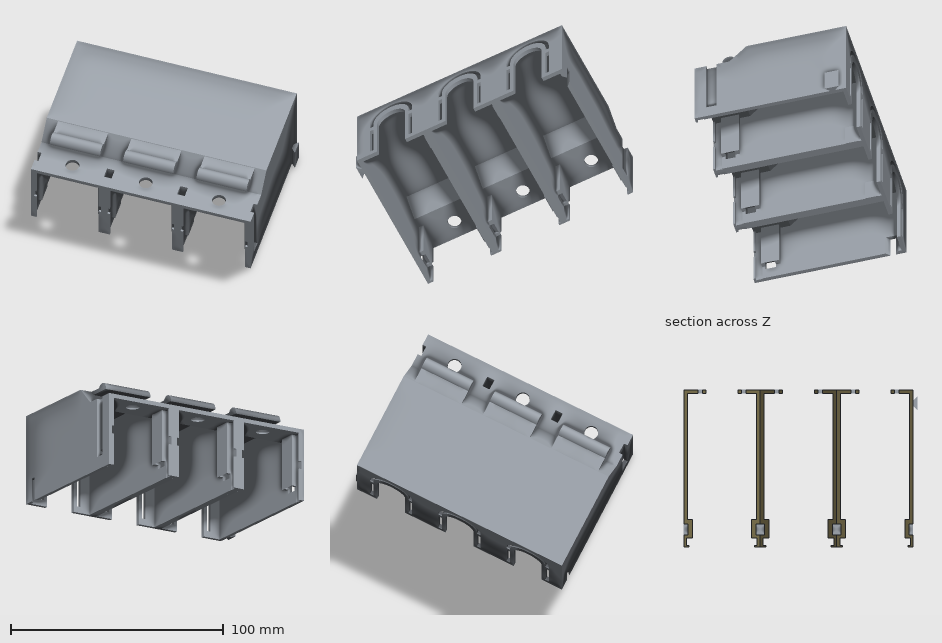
import cadquery as cq
import math


COVER_COUNT = 3
TOTAL_LENGTH = 110.0
RIB_DEPTH = 2.1
COVER_WIDTH = (TOTAL_LENGTH - RIB_DEPTH) / COVER_COUNT
COVER_DEPTH = 73.8
COVER_HEIGHT = 43.4
STEP_HEIGHT = 35.0
SLOPE_FRONT = 17.0
SLOPE_BACK = SLOPE_FRONT + COVER_HEIGHT - STEP_HEIGHT
CENTER_X = COVER_WIDTH / 2

ROOF = 2.0
SIDE_WALL = 1.9
BACK_WALL = SIDE_WALL
LIP_WALL = 2.8
LIP_LENGTH = 1.0
CHANNEL_WALL = 1.5
CHANNEL_BACK = 4.2

NOTCH_BOTTOM = 15.4
NOTCH_HEIGHT = 3.9

LATCH_Y = 8.3
GROOVE_WIDTH = 5.1
GROOVE_DEPTH = SIDE_WALL
GROOVE_BOTTOM = 6.2
RAMP_TOP = 10.0
PAD_LENGTH = 8.8
PAD_FACE = 4.2
PAD_BOTTOM = 8.0

SCREW_HOLE_DIAMETER = 6.5
SCREW_HOLE_Y = 7.9

ARCH_RADIUS = 7.4
ARCH_CENTER_Z = 26.5
SLOT_INNER = 9.2
SLOT_OUTER = 11.1
SLOT_ARC_CENTER_Z = 28.8
UPPER_SLOT_BOTTOM = 26.2
LOWER_SLOT_BOTTOM = 3.1
LOWER_SLOT_TOP = 23.1

DOVETAIL_Y = 67.4
DOVETAIL_NECK = 2.5
DOVETAIL_TIP = DOVETAIL_NECK + 2 * RIB_DEPTH
DOVETAIL_HEIGHT = 11.2

HANDLE_WIDTH = 24.7
HANDLE_BOTTOM = 41.2
HANDLE_FLAT_TOP = 43.1
HANDLE_TOP = 44.9
GRIP_RADIUS = 3.2
GRIP_CENTER_Y = 15.2
GRIP_CENTER_Z = HANDLE_TOP - GRIP_RADIUS


def box(x0, x1, y0, y1, z0, z1):
    """Axis-aligned block between two corners."""
    return cq.Workplane("XY").box(x1 - x0, y1 - y0, z1 - z0, centered=False).translate((x0, y0, z0))


def on_both_sides(left_feature):
    """The feature at the left side together with its mirror image at the right side."""
    right_feature = left_feature.mirror("YZ", (CENTER_X, 0, 0))
    return left_feature.add(right_feature).combine()


def shell():
    """Stepped housing, open at the front and at the base."""
    outside = (
        cq.Workplane("YZ")
        .polyline([
            (0, 0),
            (COVER_DEPTH, 0),
            (COVER_DEPTH, COVER_HEIGHT),
            (SLOPE_BACK, COVER_HEIGHT),
            (SLOPE_FRONT, STEP_HEIGHT),
            (0, STEP_HEIGHT),
        ])
        .close()
        .extrude(COVER_WIDTH)
    )
    deck_ceiling = STEP_HEIGHT - ROOF
    bend_shift = ROOF * math.tan(math.radians(45 / 2))
    room = (
        cq.Workplane("YZ", origin=(SIDE_WALL, 0, 0))
        .polyline([
            (0, 0),
            (COVER_DEPTH - BACK_WALL, 0),
            (COVER_DEPTH - BACK_WALL, COVER_HEIGHT - ROOF),
            (SLOPE_BACK + bend_shift, COVER_HEIGHT - ROOF),
            (SLOPE_FRONT + bend_shift, deck_ceiling),
            (0, deck_ceiling),
        ])
        .close()
        .extrude(COVER_WIDTH - 2 * SIDE_WALL)
    )
    channels = on_both_sides(box(CHANNEL_WALL, LIP_WALL, LIP_LENGTH, CHANNEL_BACK, 0, deck_ceiling))
    lips = on_both_sides(box(SIDE_WALL, LIP_WALL, 0, LIP_LENGTH, 0, deck_ceiling))
    return outside.cut(room).cut(channels).union(lips)


def lip_notches():
    """Notches through the front lips, as deep as the channels behind them."""
    notch_top = NOTCH_BOTTOM + NOTCH_HEIGHT
    return on_both_sides(box(CHANNEL_WALL, LIP_WALL, 0, LIP_LENGTH, NOTCH_BOTTOM, notch_top))


def latch_pads():
    """Pads on the inside of the side walls, behind the latch grooves."""
    pad_back = CHANNEL_BACK + PAD_LENGTH
    pad_top = STEP_HEIGHT - ROOF
    return on_both_sides(box(SIDE_WALL, PAD_FACE, CHANNEL_BACK, pad_back, PAD_BOTTOM, pad_top))


def latch_grooves():
    """Grooves down the sides, ending in a ramp and a window below the pad."""
    groove = (
        cq.Workplane("XZ", origin=(0, LATCH_Y, 0))
        .polyline([
            (0, STEP_HEIGHT),
            (GROOVE_DEPTH, STEP_HEIGHT),
            (GROOVE_DEPTH, RAMP_TOP),
            (PAD_FACE, PAD_BOTTOM),
            (PAD_FACE, GROOVE_BOTTOM),
            (0, GROOVE_BOTTOM),
        ])
        .close()
        .extrude(GROOVE_WIDTH / 2, both=True)
    )
    return on_both_sides(groove)


def screw_hole():
    """Round cutter through the low deck."""
    return (
        cq.Workplane("XY", origin=(CENTER_X, SCREW_HOLE_Y, STEP_HEIGHT))
        .circle(SCREW_HOLE_DIAMETER / 2)
        .extrude(-ROOF)
    )


def arch(half_width, center_z, base_z):
    """Round-topped cutter through the back wall."""
    return (
        cq.Workplane("XZ", origin=(CENTER_X, COVER_DEPTH, 0))
        .moveTo(-half_width, base_z)
        .lineTo(-half_width, center_z)
        .threePointArc((0, center_z + half_width), (half_width, center_z))
        .lineTo(half_width, base_z)
        .close()
        .extrude(BACK_WALL)
    )


def back_wall_openings():
    """Cable arch, the arched slot above it and a straight slot at each side."""
    cable_arch = arch(ARCH_RADIUS, ARCH_CENTER_Z, 0)
    arched_slot = arch(SLOT_OUTER, SLOT_ARC_CENTER_Z, UPPER_SLOT_BOTTOM).cut(
        arch(SLOT_INNER, SLOT_ARC_CENTER_Z, UPPER_SLOT_BOTTOM)
    )
    straight_slots = on_both_sides(
        box(
            CENTER_X - SLOT_OUTER, CENTER_X - SLOT_INNER,
            COVER_DEPTH - BACK_WALL, COVER_DEPTH,
            LOWER_SLOT_BOTTOM, LOWER_SLOT_TOP,
        )
    )
    return cable_arch.union(arched_slot).union(straight_slots)


def dovetail(side_x):
    """Dovetail prism that widens towards +X from its neck at side_x."""
    return (
        cq.Workplane("XY", origin=(side_x, DOVETAIL_Y, 0))
        .polyline([
            (0, -DOVETAIL_NECK / 2),
            (RIB_DEPTH, -DOVETAIL_TIP / 2),
            (RIB_DEPTH, DOVETAIL_TIP / 2),
            (0, DOVETAIL_NECK / 2),
        ])
        .close()
        .extrude(DOVETAIL_HEIGHT)
    )


def make_cover():
    """One terminal cover with all its openings and its dovetail rib."""
    return (
        shell()
        .cut(lip_notches())
        .union(latch_pads())
        .cut(latch_grooves())
        .cut(screw_hole())
        .cut(back_wall_openings())
        .cut(dovetail(0))
        .union(dovetail(COVER_WIDTH))
    )


def slope_y(z):
    """Y of the cover's slope at height z."""
    return SLOPE_FRONT + z - STEP_HEIGHT


def grip_half_chord(z):
    """Half the width of the round grip at height z."""
    return math.sqrt(GRIP_RADIUS**2 - (z - GRIP_CENTER_Z)**2)


def make_handle():
    """Tab that lies against the slope and ends in a rounded grip."""
    grip_front = GRIP_CENTER_Y - grip_half_chord(HANDLE_BOTTOM)
    grip_back = GRIP_CENTER_Y + grip_half_chord(HANDLE_FLAT_TOP)
    return (
        cq.Workplane("YZ", origin=(CENTER_X - HANDLE_WIDTH / 2, 0, 0))
        .moveTo(grip_front, HANDLE_BOTTOM)
        .threePointArc((GRIP_CENTER_Y, HANDLE_TOP), (grip_back, HANDLE_FLAT_TOP))
        .lineTo(slope_y(HANDLE_FLAT_TOP), HANDLE_FLAT_TOP)
        .lineTo(slope_y(HANDLE_BOTTOM), HANDLE_BOTTOM)
        .close()
        .extrude(HANDLE_WIDTH)
    )


cover = make_cover()
handle = make_handle()

bodies = []
for index in range(COVER_COUNT):
    offset = (index * COVER_WIDTH, 0, 0)
    bodies.append(cover.translate(offset).solids().val())
    bodies.append(handle.translate(offset).val())

result = cq.Compound.makeCompound(bodies)